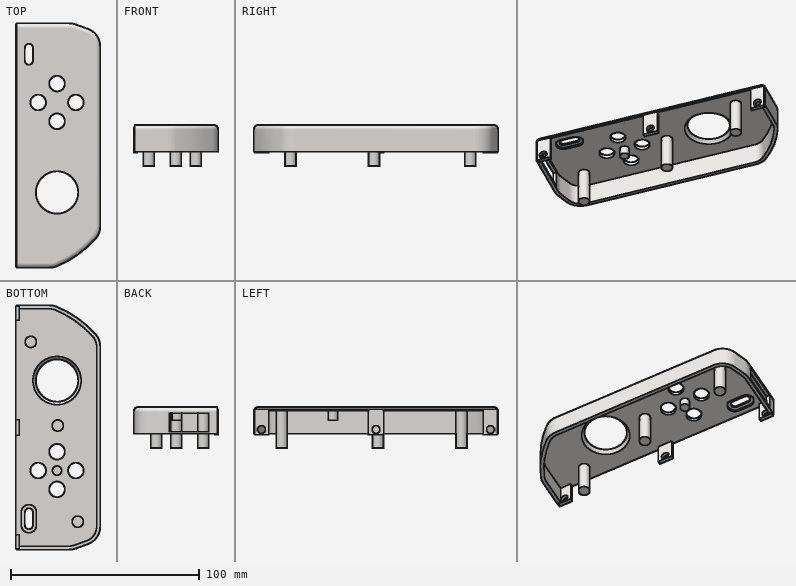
import cadquery as cq
import math

LENGTH = 130.0
WIDTH = 45.0
SHELL_HEIGHT = 14.4
POST_HEIGHT = 22.0

WALL = 2.0
TOP_THICKNESS = 2.2
EDGE_FILLET = 2.5

CORNER_RADIUS = 10.0
BACK_BEND_X = 28.5
BACK_CORNER_Y = 52.6
FRONT_BEND_X = 18.1
FRONT_CORNER_Y = -43.0
FRONT_ARC_RADIUS = 57.8

PLATE_STEP = 0.5
PLATE_END_INSET = 0.5
PLATE_TOP_INSET = 1.2
TAB_DROP = 0.5
END_TAB_WIDTH = 7.5
MIDDLE_TAB_WIDTH = 8.0
TAB_HOLE_DIAMETER = 4.2
TAB_HOLE_DEPTH = 12.1
TAB_HOLE_OFFSET = 60.8

PAD_X = 22.0
PAD_Y = 22.9
PAD_OFFSET = 10.0
BUTTON_DIAMETER = 8.2

STICK_X = 22.0
STICK_Y = -25.0
STICK_DIAMETER = 30.0
STICK_CENTRE_DEPTH = 10.0

SLOT_X = 7.0
SLOT_Y = 48.5
SLOT_LENGTH = 11.0
SLOT_WIDTH = 4.2

SLOT_SKIN = 1.0
SLOT_MARGIN = 2.0

WINDOW_LEFT = 5.2
WINDOW_RIGHT = 26.0
WINDOW_TOP = -3.4
SILL_HEIGHT = 1.3

POST_DIAMETER = 6.0
POST_CENTRES = [(33.0, 50.0), (22.4, -1.0), (8.0, -45.5)]
PAD_POST_DIAMETER = 5.0
PAD_POST_LENGTH = 7.2

HALF_LENGTH = LENGTH / 2


def on_circle(centre, radius, degrees):
    angle = math.radians(degrees)
    return (centre[0] + radius * math.cos(angle), centre[1] + radius * math.sin(angle))


def outline(inset):
    """Closed outline of the shell, moved inwards by `inset` on its three walled sides."""
    small = CORNER_RADIUS - inset
    large = FRONT_ARC_RADIUS - inset
    back_bend = (BACK_BEND_X, HALF_LENGTH - CORNER_RADIUS)
    back_corner = (WIDTH - CORNER_RADIUS, BACK_CORNER_Y)
    front_bend = (FRONT_BEND_X, CORNER_RADIUS - HALF_LENGTH)
    front_corner = (WIDTH - CORNER_RADIUS, FRONT_CORNER_Y)

    slant_angle = 90 + math.degrees(
        math.atan2(back_corner[1] - back_bend[1], back_corner[0] - back_bend[0])
    )

    run = front_corner[0] - front_bend[0]
    rise = front_corner[1] - front_bend[1]
    chord = math.hypot(run, rise)
    reach = FRONT_ARC_RADIUS - CORNER_RADIUS
    half_sweep = math.degrees(math.asin(chord / 2 / reach))
    middle_angle = math.degrees(math.atan2(rise, run)) - 90
    bend_end = middle_angle - half_sweep
    corner_start = middle_angle + half_sweep
    chord_middle = (front_bend[0] + run / 2, front_bend[1] + rise / 2)
    large_centre = on_circle(
        chord_middle, -reach * math.cos(math.radians(half_sweep)), middle_angle
    )

    return (
        cq.Workplane("XY")
        .moveTo(0, inset - HALF_LENGTH)
        .lineTo(*on_circle(front_bend, small, -90))
        .threePointArc(
            on_circle(front_bend, small, (bend_end - 90) / 2), on_circle(front_bend, small, bend_end)
        )
        .threePointArc(
            on_circle(large_centre, large, middle_angle), on_circle(front_corner, small, corner_start)
        )
        .threePointArc(
            on_circle(front_corner, small, corner_start / 2), on_circle(front_corner, small, 0)
        )
        .lineTo(*on_circle(back_corner, small, 0))
        .threePointArc(
            on_circle(back_corner, small, slant_angle / 2), on_circle(back_corner, small, slant_angle)
        )
        .lineTo(*on_circle(back_bend, small, slant_angle))
        .threePointArc(
            on_circle(back_bend, small, (slant_angle + 90) / 2), on_circle(back_bend, small, 90)
        )
        .lineTo(0, HALF_LENGTH - inset)
        .close()
    )


def block(x_range, y_range, z_range):
    lows, highs = zip(x_range, y_range, z_range)
    sizes = [high - low for low, high in zip(lows, highs)]
    return cq.Workplane("XY").box(*sizes, centered=False).translate(lows)


def shell():
    """Top and outer wall, open below and on the -X side. The top face is at Z = 0."""
    body = outline(0).extrude(-SHELL_HEIGHT)
    body = body.faces(">Z").edges("not <X").fillet(EDGE_FILLET)
    cavity = outline(WALL).extrude(TOP_THICKNESS - SHELL_HEIGHT).translate((0, 0, -TOP_THICKNESS))
    step = block((0, PLATE_STEP), (-HALF_LENGTH, HALF_LENGTH), (-SHELL_HEIGHT, 0))
    return body.cut(cavity).cut(step)


def mounting_face():
    """Narrow rail along the open side with a tab at each end and in the middle."""
    end = HALF_LENGTH - PLATE_END_INSET
    tab_bottom = -SHELL_HEIGHT - TAB_DROP
    face = block((0, WALL), (-end, end), (-TOP_THICKNESS, -PLATE_TOP_INSET))
    tab_ranges = [
        (-end, END_TAB_WIDTH - end),
        (-MIDDLE_TAB_WIDTH / 2, MIDDLE_TAB_WIDTH / 2),
        (end - END_TAB_WIDTH, end),
    ]
    for y_range in tab_ranges:
        face = face.union(block((0, WALL), y_range, (tab_bottom, -PLATE_TOP_INSET)))
    return face


def tab_holes():
    return (
        cq.Workplane("YZ")
        .pushPoints([(y, -TAB_HOLE_DEPTH) for y in (-TAB_HOLE_OFFSET, 0, TAB_HOLE_OFFSET)])
        .circle(TAB_HOLE_DIAMETER / 2)
        .extrude(WALL)
    )


def post(centre, diameter, length):
    """Round post hanging from the top, `length` measured from the top face."""
    return (
        cq.Workplane("XY", origin=(*centre, -length))
        .circle(diameter / 2)
        .extrude(length - TOP_THICKNESS / 2)
    )


def button_holes():
    offsets = [(PAD_OFFSET, 0), (0, PAD_OFFSET), (-PAD_OFFSET, 0), (0, -PAD_OFFSET)]
    return (
        cq.Workplane("XY", origin=(PAD_X, PAD_Y, 0))
        .pushPoints(offsets)
        .circle(BUTTON_DIAMETER / 2)
        .extrude(-TOP_THICKNESS)
    )


def stick_socket():
    """Sphere that breaks through the top face and leaves a thin circular rim."""
    return cq.Workplane("XY", origin=(STICK_X, STICK_Y, -STICK_CENTRE_DEPTH)).sphere(STICK_DIAMETER / 2)


def slot():
    """Slot through the top, with the wider pocket beneath it."""
    opening = (
        cq.Workplane("XY", origin=(SLOT_X, SLOT_Y, 0))
        .slot2D(SLOT_LENGTH, SLOT_WIDTH, 90)
        .extrude(-TOP_THICKNESS)
    )
    pocket = (
        cq.Workplane("XY", origin=(SLOT_X, SLOT_Y, -SLOT_SKIN))
        .slot2D(SLOT_LENGTH + 2 * SLOT_MARGIN, SLOT_WIDTH + 2 * SLOT_MARGIN, 90)
        .extrude(SLOT_SKIN - TOP_THICKNESS)
    )
    return opening.union(pocket)


def wall_window():
    return block(
        (WINDOW_LEFT, WINDOW_RIGHT),
        (HALF_LENGTH - WALL, HALF_LENGTH),
        (SILL_HEIGHT - SHELL_HEIGHT, WINDOW_TOP),
    )


result = shell().union(mounting_face()).cut(tab_holes())
result = result.cut(button_holes()).cut(stick_socket()).cut(slot()).cut(wall_window())
for centre in POST_CENTRES:
    result = result.union(post(centre, POST_DIAMETER, POST_HEIGHT))
result = result.union(post((PAD_X, PAD_Y), PAD_POST_DIAMETER, PAD_POST_LENGTH))